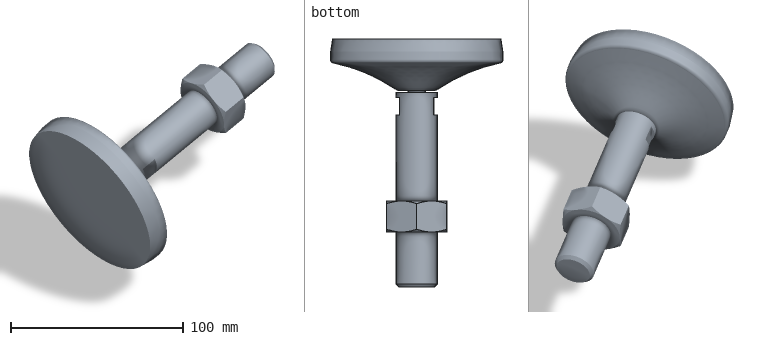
import cadquery as cq
import math

total_length = 144.0

plate_radius = 50.0
sole_radius = 48.8
taper_height = 7.5
rim_height = 12.0
rim_fillet = 2.0
cone_start_radius = plate_radius - rim_fillet
cone_start_height = rim_height + rim_fillet
cone_sag = 1.8
collar_radius = 13.0
collar_height = 28.7
plate_top_radius = 10.5
plate_top_height = 30.0

neck_radius = 5.0
neck_length = 1.0

stud_radius = 12.0
stud_start = plate_top_height + neck_length
stud_chamfer = 1.84
flats_start = 34.0
flats_length = 10.0
flats_width = 20.0

nut_start = 94.0
nut_thickness = 18.0
nut_across_flats = 35.0
hexagon_half_angle = 30.0
nut_corner_diameter = nut_across_flats / math.cos(math.radians(hexagon_half_angle))
nut_face_radius = nut_across_flats / 2
nut_chamfer_angle = 30.0


def disc_along_y(radius, start, length):
    """Cylinder on the Y axis, starting at Y = start."""
    plane = cq.Workplane("XZ", origin=(0, start, 0))
    return plane.circle(radius).extrude(-length)


def make_foot_plate():
    """Revolved plate: tapered sole, straight rim, rounded edge and a concave cone."""
    fillet_reach = rim_fillet * math.sin(math.radians(45))
    fillet_middle = (cone_start_radius + fillet_reach, rim_height + fillet_reach)

    chord_r = collar_radius - cone_start_radius
    chord_y = collar_height - cone_start_height
    chord = math.hypot(chord_r, chord_y)
    cone_middle = (
        (cone_start_radius + collar_radius) / 2 - cone_sag * chord_y / chord,
        (cone_start_height + collar_height) / 2 + cone_sag * chord_r / chord,
    )
    profile = (
        cq.Workplane("XY")
        .lineTo(sole_radius, 0)
        .lineTo(plate_radius, taper_height)
        .lineTo(plate_radius, rim_height)
        .threePointArc(fillet_middle, (cone_start_radius, cone_start_height))
        .threePointArc(cone_middle, (collar_radius, collar_height))
        .lineTo(plate_top_radius, plate_top_height)
        .lineTo(0, plate_top_height)
        .close()
    )
    return profile.revolve(360, (0, 0, 0), (0, 1, 0))


def make_stud():
    """Chamfered round stud with two opposite wrench flats facing -X and +X."""
    stud = disc_along_y(stud_radius, stud_start, total_length - stud_start)
    stud = stud.faces(">Y").chamfer(stud_chamfer)

    notch_depth = stud_radius - flats_width / 2
    notch_offset = (stud_radius + flats_width / 2) / 2
    notch_middle = flats_start + flats_length / 2
    for side in (-1, 1):
        notch = cq.Workplane("XY").box(notch_depth, flats_length, 2 * stud_radius)
        stud = stud.cut(notch.translate((side * notch_offset, notch_middle, 0)))
    return stud


def make_nut():
    """Hexagon nut with flats facing -X and +X and both ends chamfered."""
    plane = cq.Workplane("XZ", origin=(0, nut_start, 0))
    plane = plane.transformed(rotate=(0, 0, 90))
    hexagon = plane.polygon(6, nut_corner_diameter).extrude(-nut_thickness)

    corner_radius = nut_corner_diameter / 2
    chamfer_drop = (corner_radius - nut_face_radius) * math.tan(math.radians(nut_chamfer_angle))
    envelope = (
        cq.Workplane("XY", origin=(0, nut_start, 0))
        .lineTo(nut_face_radius, 0)
        .lineTo(corner_radius, chamfer_drop)
        .lineTo(corner_radius, nut_thickness - chamfer_drop)
        .lineTo(nut_face_radius, nut_thickness)
        .lineTo(0, nut_thickness)
        .close()
        .revolve(360, (0, 0, 0), (0, 1, 0))
    )
    return hexagon.intersect(envelope)


neck = disc_along_y(neck_radius, plate_top_height, neck_length)

result = make_foot_plate().union(neck).union(make_stud()).union(make_nut())